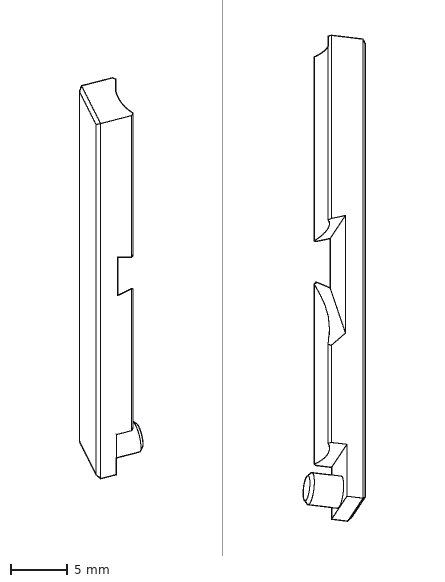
import cadquery as cq

length = 45.0
width = 5.0
half_width = width / 2
side_depth = 3.25
ridge_depth = 3.45
ridge_half_width = 2.25
groove_floor_depth = 2.9
front_chamfer = 0.3

step_height = 5.1
step_depth = 1.8
pin_diameter = 2.9
pin_tip_depth = 4.8
pin_height = 1.55
pin_chamfer = 0.3

notch_depth = 1.95
notch_top_inner = 27.5
notch_top_outer = 26.95
left_wall_inner = 15.98
left_wall_outer = 14.35
right_wall_inner = 22.7
right_wall_outer = 23.18


def make_bar():
    """Bar with a hollow round back and bevelled front edges."""
    bar = (
        cq.Workplane("XY")
        .moveTo(-half_width, 0)
        .lineTo(half_width, 0)
        .lineTo(half_width, side_depth)
        .lineTo(ridge_half_width, ridge_depth)
        .threePointArc((0, groove_floor_depth), (-ridge_half_width, ridge_depth))
        .lineTo(-half_width, side_depth)
        .close()
        .extrude(length)
    )
    return bar.faces("<Y").edges().chamfer(front_chamfer)


def make_step_cut():
    """Block that thins the lower end of the bar."""
    return cq.Workplane("XY").box(
        width, ridge_depth, step_height, centered=(True, False, False)
    ).translate((0, step_depth, 0))


def notch_section(x, wall_inner, wall_outer):
    """Closed notch profile in a plane of constant x."""
    corners = [
        (x, notch_depth, wall_inner),
        (x, ridge_depth, wall_outer),
        (x, ridge_depth, notch_top_outer),
        (x, notch_depth, notch_top_inner),
    ]
    return cq.Wire.makePolygon([cq.Vector(*corner) for corner in corners], close=True)


def make_notch_cut():
    """Notch with an undercut top and a twisted, sloping lower wall."""
    left = notch_section(-half_width, left_wall_inner, left_wall_outer)
    right = notch_section(half_width, right_wall_inner, right_wall_outer)
    return cq.Workplane(cq.Solid.makeLoft([left, right], True))


def make_pin():
    """Pin standing on the step, bevelled at its tip."""
    return (
        cq.Workplane("XZ", origin=(0, step_depth, pin_height))
        .circle(pin_diameter / 2)
        .extrude(step_depth - pin_tip_depth)
        .faces(">Y")
        .chamfer(pin_chamfer)
    )


result = make_bar().cut(make_step_cut()).cut(make_notch_cut()).union(make_pin())